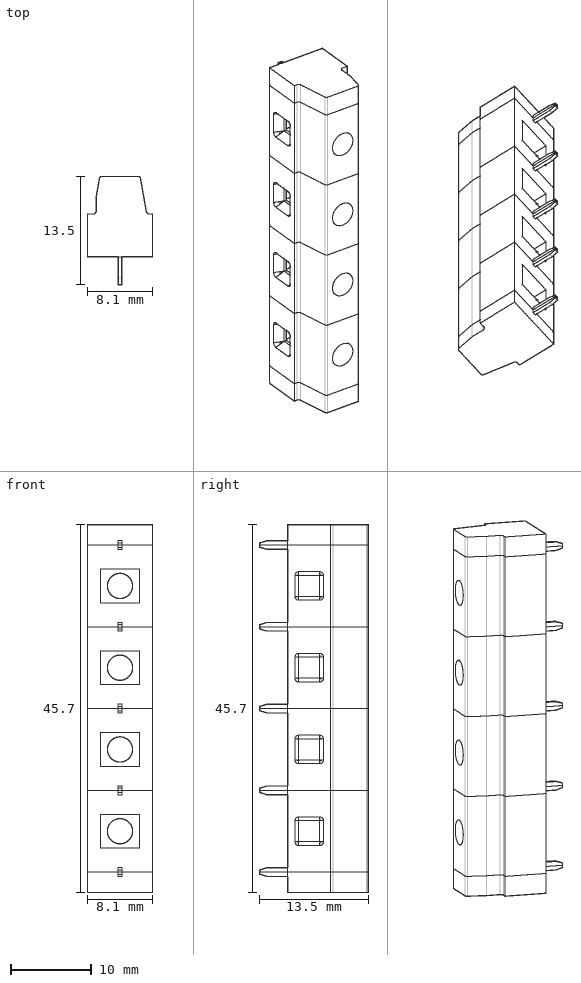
import cadquery as cq
import math


TOTAL_LENGTH = 45.7
POLE_COUNT = 4
PITCH = TOTAL_LENGTH / (POLE_COUNT + 0.5)
END_LENGTH = PITCH / 4

BASE_WIDTH = 8.1
BASE_DEPTH = 5.35
TOTAL_DEPTH = 13.5
PIN_LENGTH = 3.47
HOUSING_DEPTH = TOTAL_DEPTH - PIN_LENGTH
FLANK_ANGLE = math.radians(10)
LEFT_FLANK_X = -2.95
LEFT_BEND_Y = 7.45
RIGHT_FOOT_X = 3.35
TOP_ROUND = 0.27
FOOT_ROUND = 0.345

PIN_WIDTH = 0.45
PIN_HEIGHT = 1.1
PIN_TIP_HEIGHT = 0.55
PIN_TAPER_LENGTH = 0.85

POCKET_WIDTH = 4.85
POCKET_HEIGHT = 4.2
POCKET_DEPTH = BASE_DEPTH
SCREW_HOLE_DIAMETER = 3.1
ENTRY_SIZE = 2.6
ENTRY_Y = BASE_DEPTH / 2
ENTRY_LIP = 0.345
ENTRY_FLARE_ANGLE = 20


def housing_slice(bottom, top):
    """Plain length of housing between two heights."""
    flank_slope = math.tan(FLANK_ANGLE)
    top_left_x = LEFT_FLANK_X + (HOUSING_DEPTH - LEFT_BEND_Y) * flank_slope
    top_right_x = RIGHT_FOOT_X - (HOUSING_DEPTH - BASE_DEPTH) * flank_slope
    outline = [
        (-BASE_WIDTH / 2, 0),
        (BASE_WIDTH / 2, 0),
        (BASE_WIDTH / 2, BASE_DEPTH),
        (RIGHT_FOOT_X, BASE_DEPTH),
        (top_right_x, HOUSING_DEPTH),
        (top_left_x, HOUSING_DEPTH),
        (LEFT_FLANK_X, LEFT_BEND_Y),
        (LEFT_FLANK_X, BASE_DEPTH),
        (-BASE_WIDTH / 2, BASE_DEPTH),
    ]
    block = cq.Workplane("XY").workplane(offset=bottom).polyline(outline).close().extrude(top - bottom)
    block = block.edges("|Z").edges(">Y").fillet(TOP_ROUND)
    foot_box = cq.selectors.BoxSelector(
        (LEFT_FLANK_X - FOOT_ROUND, BASE_DEPTH - FOOT_ROUND, bottom),
        (RIGHT_FOOT_X + FOOT_ROUND, BASE_DEPTH + FOOT_ROUND, top),
    )
    return block.edges("|Z").edges(foot_box).fillet(FOOT_ROUND)


def half_pin(mid_z, side):
    """Half of a tapered solder pin, above (side = 1) or below (side = -1) its mid-plane."""
    outline = [
        (0, mid_z),
        (0, mid_z + side * PIN_HEIGHT / 2),
        (PIN_TAPER_LENGTH - PIN_LENGTH, mid_z + side * PIN_HEIGHT / 2),
        (-PIN_LENGTH, mid_z + side * PIN_TIP_HEIGHT / 2),
        (-PIN_LENGTH, mid_z),
    ]
    return cq.Workplane("YZ").polyline(outline).close().extrude(PIN_WIDTH / 2, both=True)


def pole_openings(mid_z):
    """Pin-side pocket, screw hole behind it and flared wire entry from the +X side."""
    pocket = cq.Workplane("XY").box(
        POCKET_WIDTH, POCKET_DEPTH, POCKET_HEIGHT, centered=(True, False, True)
    )
    screw_hole = cq.Workplane("XZ").circle(SCREW_HOLE_DIAMETER / 2).extrude(-HOUSING_DEPTH)
    flare_x = POCKET_WIDTH / 2 + ENTRY_LIP
    window = cq.Workplane("YZ").center(ENTRY_Y, 0).rect(ENTRY_SIZE, ENTRY_SIZE).extrude(flare_x)
    flare = (
        cq.Workplane("YZ", origin=(flare_x, 0, 0))
        .center(ENTRY_Y, 0)
        .rect(ENTRY_SIZE, ENTRY_SIZE)
        .extrude(BASE_WIDTH / 2 - flare_x, taper=-ENTRY_FLARE_ANGLE)
    )
    return pocket.union(screw_hole).union(window).union(flare).translate((0, 0, mid_z))


def pole(bottom):
    """One full pole between two pin mid-planes."""
    top = bottom + PITCH
    body = housing_slice(bottom, top).cut(pole_openings((bottom + top) / 2))
    return body.union(half_pin(bottom, 1)).union(half_pin(top, -1))


first_pin_z = -POLE_COUNT * PITCH / 2
last_pin_z = -first_pin_z

bottom_end = housing_slice(first_pin_z - END_LENGTH, first_pin_z).union(half_pin(first_pin_z, -1))
top_end = housing_slice(last_pin_z, last_pin_z + END_LENGTH).union(half_pin(last_pin_z, 1))
poles = [pole(first_pin_z + i * PITCH) for i in range(POLE_COUNT)]

result = cq.Compound.makeCompound([bottom_end.val(), *[body.val() for body in poles], top_end.val()])